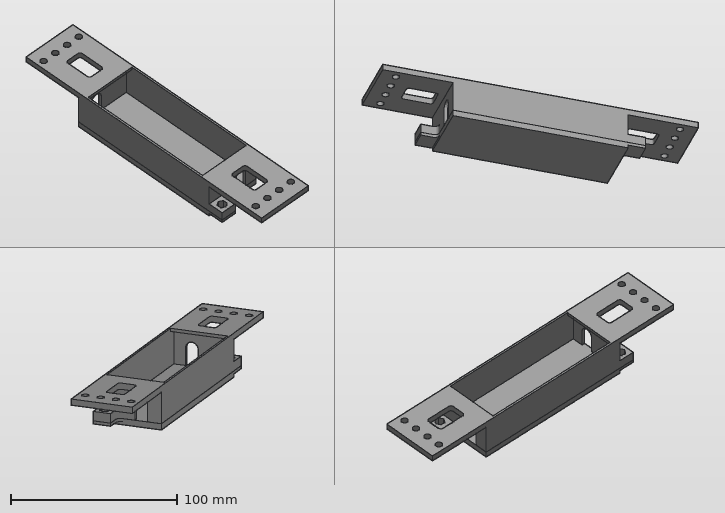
import cadquery as cq

plate_length = 200.0
width = 40.0
height = 28.0
plate_thickness = 4.0

box_length = 111.0
side_wall = 1.5
end_wall = 2.2
cavity_length = box_length - 2 * end_wall
cavity_width = width - 2 * side_wall
opening_length = 97.0
opening_lip = 2.0

screw_hole_diameter = 4.5
screw_hole_x = 90.0
screw_hole_pitch = 10.0
screw_holes_per_end = 4
window_length = 20.0
window_width = 12.0
window_corner_radius = 1.8
window_x = 70.0

arch_width = 8.2
arch_top = 19.2
arch_y = 6.8

cover_thickness = 4.0
lug_top = 10.0
lug_bottom = 2.0
lug_length = 11.0
lug_width = 11.5
lug_fillet = 3.0
nut_hole_size = 6.5
nut_hole_inset = 5.5

box_end = box_length / 2
lug_end = box_end + lug_length
half_width = width / 2
nut_hole_x = box_end + lug_length - nut_hole_inset
nut_hole_y = nut_hole_inset - half_width


def block(length, depth, bottom, top):
    """Box centred on the Z axis between two heights."""
    return cq.Workplane("XY").workplane(offset=bottom).rect(length, depth).extrude(top - bottom)


def opposite(shape):
    """The same shape turned half a turn about the Z axis."""
    return shape.rotate((0, 0, 0), (0, 0, 1), 180)


def lug(bottom, top):
    """Lug at the +X, -Y corner, with a concave fillet to the end wall."""
    inner_y = lug_width - half_width
    return (
        cq.Workplane("XY").workplane(offset=bottom)
        .moveTo(box_end, -half_width)
        .lineTo(lug_end, -half_width)
        .lineTo(lug_end, inner_y)
        .lineTo(box_end + lug_fillet, inner_y)
        .radiusArc((box_end, inner_y + lug_fillet), lug_fillet)
        .close()
        .extrude(top - bottom)
    )


def housing_lug():
    """Upper lug with a hexagonal nut hole through it, two corners of it pointing along X."""
    nut_hole = (
        cq.Workplane("XY", origin=(nut_hole_x, nut_hole_y, cover_thickness))
        .polygon(6, nut_hole_size)
        .extrude(lug_top - cover_thickness)
    )
    return lug(cover_thickness, lug_top).cut(nut_hole)


def arch_cutter():
    """Round-topped opening through the +X end wall, open at the cover."""
    radius = arch_width / 2
    return (
        cq.Workplane("YZ").workplane(offset=box_end - end_wall)
        .moveTo(arch_y - radius, cover_thickness)
        .lineTo(arch_y + radius, cover_thickness)
        .lineTo(arch_y + radius, arch_top - radius)
        .threePointArc((arch_y, arch_top), (arch_y - radius, arch_top - radius))
        .close()
        .extrude(end_wall)
    )


def plate_hole_cutter():
    """Row of screw holes and a rounded window at both ends of the plate."""
    plate_bottom = height - plate_thickness
    first_hole_y = -screw_hole_pitch * (screw_holes_per_end - 1) / 2
    screw_places = [
        (side * screw_hole_x, first_hole_y + index * screw_hole_pitch)
        for side in (-1, 1)
        for index in range(screw_holes_per_end)
    ]
    base = cq.Workplane("XY").workplane(offset=plate_bottom)
    screw_holes = base.pushPoints(screw_places).circle(screw_hole_diameter / 2).extrude(plate_thickness)
    windows = (
        base.pushPoints([(-window_x, 0), (window_x, 0)])
        .rect(window_length, window_width)
        .extrude(plate_thickness)
        .edges("|Z").fillet(window_corner_radius)
    )
    return screw_holes.union(windows)


def make_housing():
    """Open-bottomed box hanging from the mounting plate, with two lugs at opposite corners."""
    plate = block(plate_length, width, height - plate_thickness, height)
    box = block(box_length, width, cover_thickness, height)
    cavity = block(cavity_length, cavity_width, cover_thickness, height - opening_lip)
    opening = block(opening_length, cavity_width, height - opening_lip, height)
    housing = plate.union(box).cut(cavity).cut(opening).cut(plate_hole_cutter())

    upper_lug = housing_lug()
    arch = arch_cutter()
    return (
        housing.union(upper_lug).union(opposite(upper_lug))
        .cut(arch).cut(opposite(arch))
    )


def make_cover():
    """Flat cover closing the box, with thin tabs under the housing lugs."""
    tab = lug(lug_bottom, cover_thickness)
    return block(box_length, width, 0, cover_thickness).union(tab).union(opposite(tab))


housing = make_housing()
cover = make_cover()

result = cq.Compound.makeCompound([housing.val(), cover.val()])